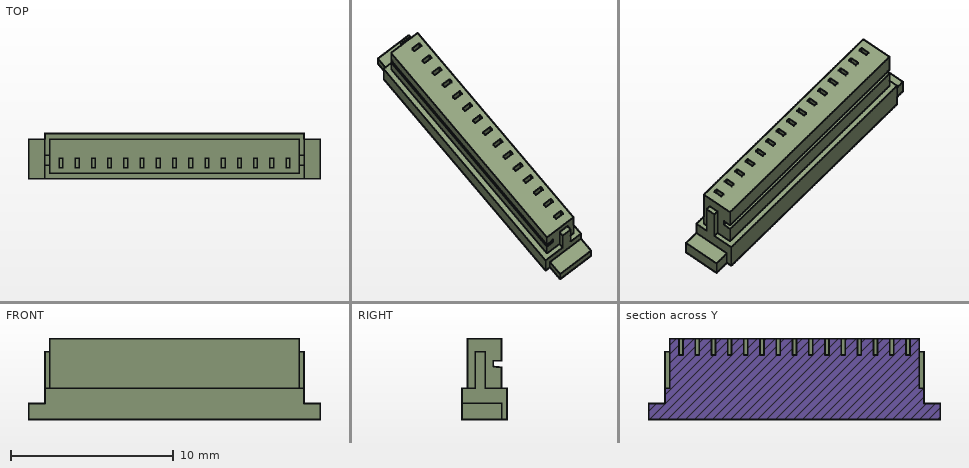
import cadquery as cq

overall_length = 18.0
base_depth = 2.8
overall_height = 5.0
foot_length = 1.0
foot_height = 1.0
foot_back_setback = 0.35
base_length = overall_length - 2 * foot_length
base_height = 1.95

housing_end_inset = 0.3
housing_side_inset = 0.35
housing_length = base_length - 2 * housing_end_inset
housing_depth = base_depth - 2 * housing_side_inset

rib_front_offset = 0.82
rib_width = 0.63
rib_top = 4.2

groove_depth = 0.5
groove_top = 3.62
groove_floor_outer = 3.23
groove_floor_inner = 3.28

slot_count = 15
slot_pitch = 1.0
slot_length = 0.23
slot_width = 0.57
slot_front_offset = 0.69
slot_depth = 1.0

front_y = -base_depth / 2
housing_back_y = housing_depth / 2


def block(length, front, depth, bottom, top):
    """Box centred on X, running back from `front` and up from `bottom` to `top`."""
    box = cq.Workplane("XY").box(length, depth, top - bottom, centered=(True, False, False))
    return box.translate((0, front, bottom))


def make_base():
    feet = block(overall_length, front_y, base_depth - foot_back_setback, 0, foot_height)
    bar = block(base_length, front_y, base_depth, 0, base_height)
    return bar.union(feet)


def make_housing():
    return block(housing_length, front_y + housing_side_inset, housing_depth, 0, overall_height)


def make_end_ribs():
    return block(base_length, front_y + rib_front_offset, rib_width, 0, rib_top)


def make_back_groove():
    groove_inner_y = housing_back_y - groove_depth
    profile = [
        (housing_back_y, groove_floor_outer),
        (groove_inner_y, groove_floor_inner),
        (groove_inner_y, groove_top),
        (housing_back_y, groove_top),
    ]
    return cq.Workplane("YZ").polyline(profile).close().extrude(housing_length / 2, both=True)


def make_contact_slots():
    slot_bottom = overall_height - slot_depth
    slot = block(slot_length, front_y + slot_front_offset, slot_width, slot_bottom, overall_height)
    first_slot_x = -slot_pitch * (slot_count - 1) / 2
    slots = cq.Workplane("XY")
    for index in range(slot_count):
        slots = slots.add(slot.translate((first_slot_x + index * slot_pitch, 0, 0)))
    return slots.combine()


body = make_base().union(make_housing()).union(make_end_ribs())
result = body.cut(make_back_groove()).cut(make_contact_slots())